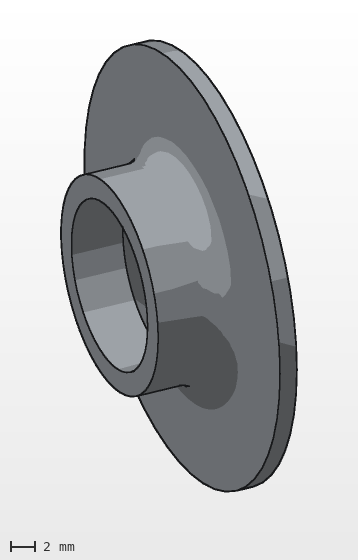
import cadquery as cq

flange_diameter = 37.0
flange_thickness = 1.5
total_depth = 8.0
collar_diameter = 18.4
bore_diameter = 14.4
root_fillet_radius = 2.5
bore_chamfer = 3.4

bore_radius = bore_diameter / 2
collar_radius = collar_diameter / 2
flange_radius = flange_diameter / 2
flange_front = -flange_thickness
fillet_end = flange_front - root_fillet_radius

section = (
    cq.Workplane("XY")
    .moveTo(bore_radius + bore_chamfer, 0)
    .lineTo(flange_radius, 0)
    .lineTo(flange_radius, flange_front)
    .lineTo(collar_radius + root_fillet_radius, flange_front)
    .radiusArc((collar_radius, fillet_end), -root_fillet_radius)
    .lineTo(collar_radius, -total_depth)
    .lineTo(bore_radius, -total_depth)
    .lineTo(bore_radius, -bore_chamfer)
    .close()
)

result = section.revolve(360, (0, 0, 0), (0, 1, 0))